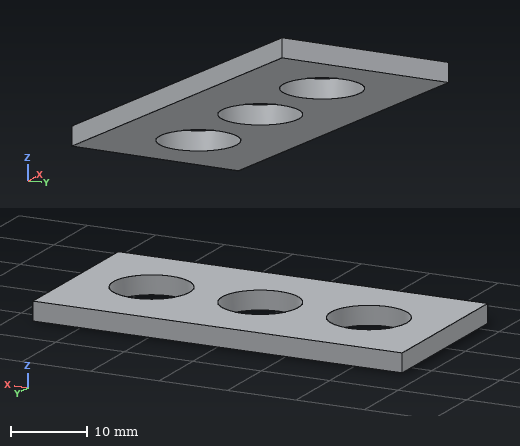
import cadquery as cq

length = 54.0
width = 25.4
thickness = 2.75

hole_diameter = 11.1
hole_count = 3
hole_pitch = 15.85

plate = cq.Workplane("XY").box(length, width, thickness)

result = (
    plate.faces(">Z")
    .workplane()
    .rarray(hole_pitch, 0.55, hole_count, 1)
    .hole(hole_diameter)
)